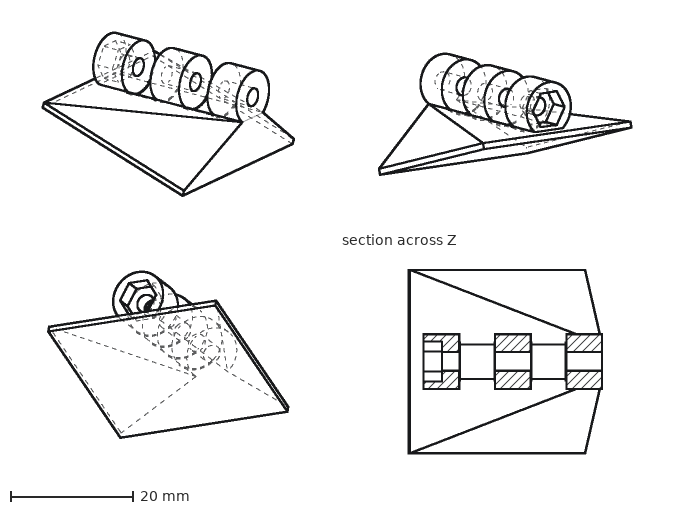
import cadquery as cq
import math

plate_size = 30.0
plate_thickness = 1.0
tilt_deg = 17.34
tilt = math.radians(tilt_deg)

knuckle_count = 3
knuckle_radius = 4.5
knuckle_length = 5.88
knuckle_pitch = 11.68
axis_height = 3.5

side_clearance = 0.1
side_clearance_radius = 4.7
knuckle_gap = knuckle_pitch - knuckle_length

bore_diameter = 3.0
nut_across_flats = 5.6
nut_corner_diameter = nut_across_flats / math.cos(math.pi / 6)
nut_depth = 3.0

top_length = plate_size / math.cos(tilt)
ridge_half_width = math.sqrt(knuckle_radius**2 - axis_height**2)
first_knuckle_x = top_length - (knuckle_count - 1) * knuckle_pitch - knuckle_length


def cylinder_along_x(start_x, length, radius):
    """Cylinder on the hinge axis, starting at start_x."""
    return cq.Workplane("YZ", origin=(start_x, 0, axis_height)).circle(radius).extrude(length)


def make_knuckle(start_x):
    """Hinge knuckle cut flat at Z = 0, where it sits on the wedge."""
    trim = cq.Workplane("XY", origin=(start_x, 0, 0)).box(
        knuckle_length, 2 * knuckle_radius, axis_height + knuckle_radius, centered=(False, True, False)
    )
    return cylinder_along_x(start_x, knuckle_length, knuckle_radius).intersect(trim)


def make_plate():
    """Square plate tilted down towards +X about its upper left edge."""
    plate = cq.Workplane("XY").box(
        plate_size, plate_size, plate_thickness, centered=(False, True, False)
    )
    plate = plate.translate((0, 0, -plate_thickness))
    return plate.rotate((0, 0, 0), (0, 1, 0), tilt_deg)


def make_wedge():
    """Wedge from the tilted plate up to a level top that narrows towards +X."""
    half_width = plate_size / 2
    low_x = plate_size * math.cos(tilt)
    low_z = -plate_size * math.sin(tilt)
    left_front = (0, -half_width, 0)
    left_back = (0, half_width, 0)
    low_front = (low_x, -half_width, low_z)
    low_back = (low_x, half_width, low_z)
    ridge_front = (top_length, -ridge_half_width, 0)
    ridge_back = (top_length, ridge_half_width, 0)
    outlines = [
        (left_front, ridge_front, ridge_back, left_back),
        (left_front, left_back, low_back, low_front),
        (low_front, low_back, ridge_back, ridge_front),
        (left_front, low_front, ridge_front),
        (left_back, ridge_back, low_back),
    ]
    faces = []
    for outline in outlines:
        wire = cq.Wire.makePolygon([cq.Vector(*point) for point in outline], close=True)
        faces.append(cq.Face.makeFromWires(wire))
    return cq.Workplane(obj=cq.Solid.makeSolid(cq.Shell.makeShell(faces)))


def cut_relief(body, start_x):
    """Round groove filling one knuckle gap, slightly deeper at both ends."""
    end_x = start_x + knuckle_gap
    body = body.cut(cylinder_along_x(start_x, knuckle_gap, knuckle_radius))
    for clearance_x in (start_x, end_x - side_clearance):
        body = body.cut(cylinder_along_x(clearance_x, side_clearance, side_clearance_radius))
    return body


def cut_nut_pocket(body):
    """Hexagonal pocket in the left end, with corners pointing along Y."""
    pocket = cq.Workplane("YZ", origin=(first_knuckle_x, 0, axis_height))
    return body.cut(pocket.polygon(6, nut_corner_diameter).extrude(nut_depth))


knuckle_starts = [first_knuckle_x + i * knuckle_pitch for i in range(knuckle_count)]

result = make_plate().union(make_wedge())
for knuckle_x in knuckle_starts[:-1]:
    result = cut_relief(result, knuckle_x + knuckle_length)
for knuckle_x in knuckle_starts:
    result = result.union(make_knuckle(knuckle_x))
hinge_length = top_length - first_knuckle_x
result = result.cut(cylinder_along_x(first_knuckle_x, hinge_length, bore_diameter / 2))
result = cut_nut_pocket(result)